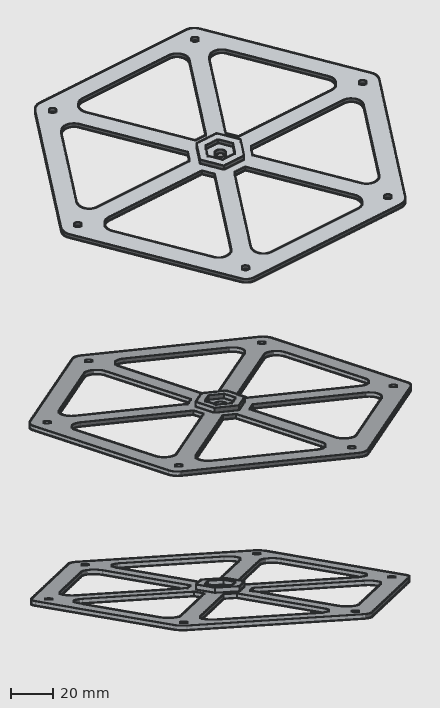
import cadquery as cq
import math

length = 188.0
width = 164.5
plate_thickness = 2.3
total_height = 4.7
rim_width = 10.0
spoke_width = 9.4
window_corner_radius = 6.0

hub_flats = 30.0
nut_flats = 13.2
boss_wall = 4.0
boss_flats = nut_flats + 2 * boss_wall
nut_pocket_depth = 2.3
bolt_diameter = 5.5
corner_hole_diameter = 3.5
corner_hole_circle_radius = 85.5

sides = 6
side_angle = 360 / sides
corners_per_flats = 1 / math.cos(math.radians(side_angle / 2))

outer_corner_radius = (width * corners_per_flats - length) / 2 / (corners_per_flats - 1)


def hexagon(flats, height, base=0.0):
    """Hexagonal prism given by its distance across flats."""
    return (
        cq.Workplane("XY")
        .workplane(offset=base)
        .polygon(sides, flats * corners_per_flats)
        .extrude(height)
    )


def window():
    """Triangular opening facing +Y, with rounded outer corners and its tip cut off by the hub."""
    outer_y = width / 2 - rim_width
    tip_y = spoke_width / 2 / math.sin(math.radians(side_angle / 2))
    half_base = (outer_y - tip_y) * math.tan(math.radians(side_angle / 2))
    triangle = (
        cq.Workplane("XY")
        .polyline([(0, tip_y), (half_base, outer_y), (-half_base, outer_y)])
        .close()
        .extrude(plate_thickness)
        .edges("|Z and (>X or <X)")
        .fillet(window_corner_radius)
    )
    return triangle.cut(hexagon(hub_flats, plate_thickness))


plate = hexagon(width, plate_thickness).edges("|Z").fillet(outer_corner_radius)
opening = window()
for i in range(sides):
    plate = plate.cut(opening.rotate((0, 0, 0), (0, 0, 1), i * side_angle))

corner_holes = (
    cq.Workplane("XY")
    .polarArray(corner_hole_circle_radius, 0, 360, sides)
    .circle(corner_hole_diameter / 2)
    .extrude(plate_thickness)
)
plate = plate.cut(corner_holes)

boss = hexagon(boss_flats, total_height)
nut_pocket = hexagon(nut_flats, nut_pocket_depth, total_height - nut_pocket_depth)
bolt_hole = cq.Workplane("XY").circle(bolt_diameter / 2).extrude(total_height)

result = plate.union(boss).cut(nut_pocket).cut(bolt_hole)